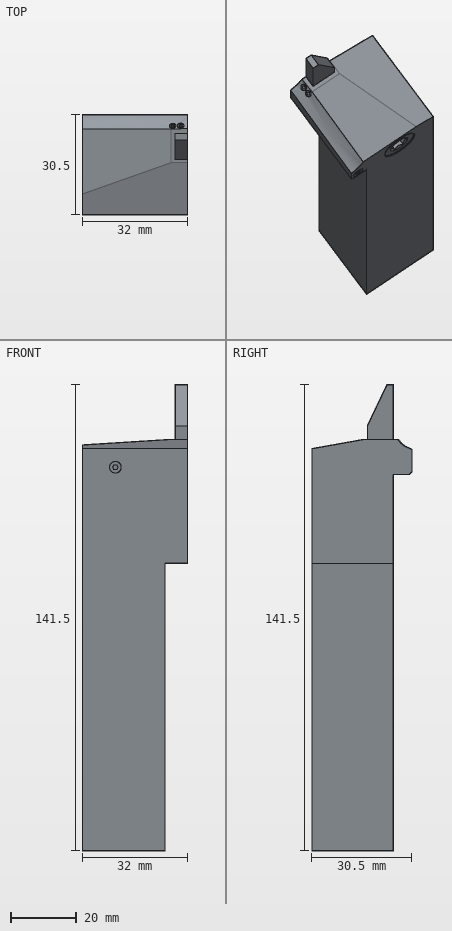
import cadquery as cq


total_height = 141.5
head_width = 32.0
total_depth = 30.5
shank_width = 25.2
shank_depth = 24.8
head_bottom_z = 87.3
ear_bottom_z = 114.2
ear_chamfer = 0.8

pad_z = 125.0
pad_x = 26.9
pad_front_y = 15.9
slope_edge_y = 26.0
side_drop = 1.7
front_drop = 2.8
back_drop = 3.4
back_sag = 0.35
cut_clearance = 7.1

blade_width = 3.8
blade_depth = 7.9
blade_tip_depth = 2.0
blade_taper_z = 129.1

clamp_y = 12.5
clamp_z = 116.5
clamp_diameter = 10.6
clamp_length = 8.5
clamp_rim = 0.3
clamp_hex_corners = 6.1
clamp_hex_depth = 3.1
clamp_tip_depth = 1.7
clamp_countersink = 0.1

plug_diameter = 3.5
plug_length = 3.5
plug_hex_corners = 1.7
plug_hex_depth = 1.1
plug_z = clamp_z
side_plug_y = 27.9
front_plug_x = 10.0

nozzle_diameter = 2.0
nozzle_bore = 1.0
nozzle_length = 2.5
nozzle_face_y = 27.0
nozzle_face_z = 123.7
nozzle_x_places = (27.5, 29.9)

clamp_face = cq.Plane((clamp_rim, clamp_y, clamp_z), xDir=(0, 1, 0), normal=(1, 0, 0))
side_plug_face = cq.Plane((0, side_plug_y, plug_z), xDir=(0, 1, 0), normal=(1, 0, 0))
front_plug_face = cq.Plane((front_plug_x, 0, plug_z), xDir=(1, 0, 0), normal=(0, 1, 0))
plug_faces = (side_plug_face, front_plug_face)
nozzle_faces = [
    cq.Plane((x, nozzle_face_y, nozzle_face_z), xDir=(1, 0, 0), normal=(0, -1, -1)) for x in nozzle_x_places
]


def cylinder(plane, diameter, length):
    return cq.Workplane(plane).circle(diameter / 2).extrude(length)


def cone(plane, start, start_diameter, end_diameter, length):
    """Cone along the plane's normal, beginning `start` beyond the plane."""
    base = plane.toWorldCoords((0, 0, start))
    solid = cq.Solid.makeCone(start_diameter / 2, end_diameter / 2, length, base, plane.zDir)
    return cq.Workplane(solid)


def hexagon(plane, corners, length):
    return cq.Workplane(plane).polygon(6, corners).extrude(length)


def prism_along_x(points_yz, x_start, x_end):
    outline = cq.Workplane("YZ", origin=(x_start, 0, 0)).polyline(points_yz).close()
    return outline.extrude(x_end - x_start)


def holder_blank():
    blank_top_z = pad_z + cut_clearance
    head_profile = [
        (0, head_bottom_z),
        (shank_depth, head_bottom_z),
        (shank_depth, ear_bottom_z),
        (total_depth - ear_chamfer, ear_bottom_z),
        (total_depth, ear_bottom_z + ear_chamfer),
        (total_depth, blank_top_z),
        (0, blank_top_z),
    ]
    shank = cq.Workplane().box(shank_width, shank_depth, head_bottom_z, centered=False)
    return prism_along_x(head_profile, 0, head_width).union(shank)


def side_and_back_slope_cutter():
    """Space above the left slope and the hollow back slope, both climbing along X."""
    rise = side_drop * head_width / pad_x
    slope_z = pad_z - side_drop
    back_z = slope_z - back_drop
    middle_y = (slope_edge_y + total_depth) / 2
    middle_z = (slope_z + back_z) / 2
    outline = (
        cq.Workplane("YZ")
        .moveTo(-cut_clearance, slope_z)
        .lineTo(slope_edge_y, slope_z)
        .threePointArc((middle_y - back_sag, middle_z - back_sag), (total_depth, back_z))
        .lineTo(total_depth + cut_clearance, back_z)
        .lineTo(total_depth + cut_clearance, total_height)
        .lineTo(-cut_clearance, total_height)
        .close()
    )
    slanted_path = cq.Vector(head_width, 0, rise)
    return cq.Workplane(cq.Solid.extrudeLinear(outline.val(), [], slanted_path))


def pad_cutter():
    corner = cq.Workplane(origin=(pad_x, 0, pad_z))
    return corner.box(head_width - pad_x, total_depth, total_height - pad_z, centered=False)


def front_slope_cutter():
    slope = front_drop / pad_front_y
    low_z = pad_z - front_drop - slope * cut_clearance
    points = [
        (-cut_clearance, low_z),
        (pad_front_y, pad_z),
        (pad_front_y, total_height),
        (-cut_clearance, total_height),
    ]
    return prism_along_x(points, 0, head_width)


def clamp_hole():
    hole = cylinder(clamp_face, clamp_diameter, clamp_length)
    rim = cone(clamp_face, -clamp_rim, clamp_diameter + 2 * clamp_rim, clamp_diameter, clamp_rim)
    return hole.union(rim)


def nozzle_hole(face):
    """Seat of a nozzle, open outwards so that no skin is left in front of it."""
    outside = cq.Plane(face.toWorldCoords((0, 0, -cut_clearance)), xDir=face.xDir, normal=face.zDir)
    return cylinder(outside, nozzle_diameter, cut_clearance + nozzle_length)


def make_holder():
    body = holder_blank()
    body = body.cut(side_and_back_slope_cutter()).cut(pad_cutter()).cut(front_slope_cutter())
    body = body.cut(clamp_hole())
    for face in plug_faces:
        body = body.cut(cylinder(face, plug_diameter, plug_length))
    for face in nozzle_faces:
        body = body.cut(nozzle_hole(face))
    return body


def make_blade():
    front_y = shank_depth - blade_depth
    profile = [
        (front_y, pad_z),
        (shank_depth, pad_z),
        (shank_depth, total_height),
        (shank_depth - blade_tip_depth, total_height),
        (front_y, blade_taper_z),
    ]
    return prism_along_x(profile, head_width - blade_width, head_width)


def make_clamp_screw():
    """Round screw with a countersunk hexagon socket that ends in a cone."""
    countersink_diameter = clamp_hex_corners + 2 * clamp_countersink
    socket = hexagon(clamp_face, clamp_hex_corners, clamp_hex_depth)
    tip = cone(clamp_face, clamp_hex_depth, clamp_hex_corners, 0, clamp_tip_depth)
    tip = tip.intersect(hexagon(clamp_face, clamp_hex_corners, clamp_length))
    countersink = cone(clamp_face, 0, countersink_diameter, 0, countersink_diameter / 2)
    screw = cylinder(clamp_face, clamp_diameter, clamp_length)
    return screw.cut(countersink).cut(socket).cut(tip)


def make_plug(face):
    plug = cylinder(face, plug_diameter, plug_length)
    return plug.cut(hexagon(face, plug_hex_corners, plug_hex_depth))


def make_nozzle(face):
    tube = cylinder(face, nozzle_diameter, nozzle_length)
    return tube.cut(cylinder(face, nozzle_bore, nozzle_length))


holder = make_holder()
blade = make_blade()
clamp_screw = make_clamp_screw()
plugs = [make_plug(face).val() for face in plug_faces]
nozzles = [make_nozzle(face).val() for face in nozzle_faces]

result = cq.Compound.makeCompound([holder.val(), blade.val(), clamp_screw.val(), *plugs, *nozzles])